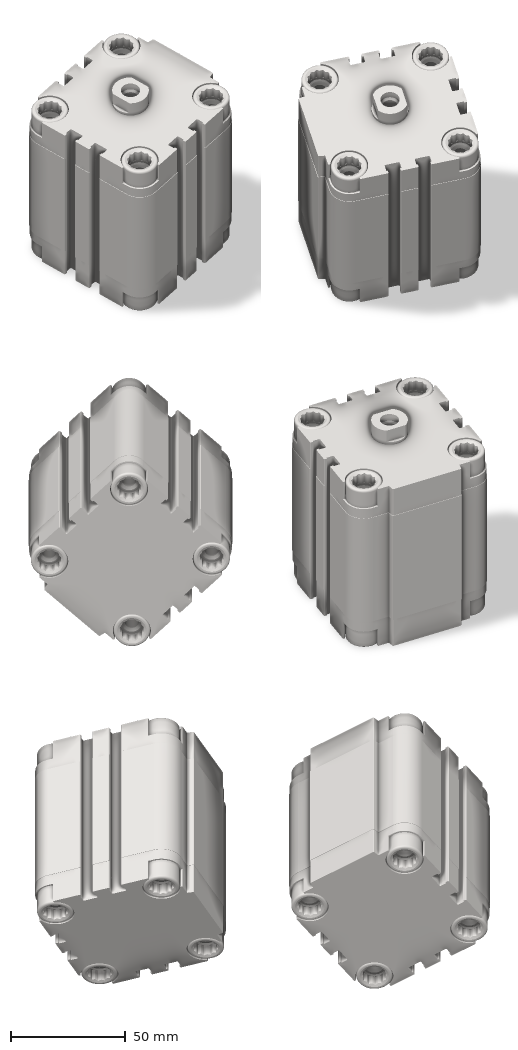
import cadquery as cq
import math

overall_width = 68.0
overall_depth = 71.0
total_height = 93.0
rod_stickout = 7.5
housing_height = total_height - rod_stickout
cap_height = 14.4

half_width = overall_width / 2
rib_top_y = overall_depth - half_width
rib_half_top = 16.9
rib_half_base = 17.4
rib_chamfer = 0.3
cap_inset = 0.2
screw_offset = 25.0

groove_offset = 6.8
groove_neck = 5.6
groove_width = 6.8
groove_depth = 5.0
groove_lip = 1.7
groove_corner_radius = 0.5
mouth_chamfer = 0.3

head_radius = 16.0 / 2
head_height = 9.3
head_edge_radius = 1.0
pocket_radius = 8.3
pocket_wall_inset = 2.6
hole_radius = 6.0 / 2

socket_points = 12
socket_tip_radius = 5.6
socket_root_radius = 5.0
socket_mouth_radius = 6.4
socket_mouth_depth = 0.7
socket_depth = 5.6
relief_radius = 10.4 / 2
relief_depth = 6.8
countersink_radius = 8.4 / 2

rod_radius = 16.0 / 2
rod_depth = cap_height
flat_width = 13.0
flat_height = 6.1
thread_radius = 6.6 / 2
thread_relief_radius = 8.4 / 2
thread_relief_depth = 3.5
thread_depth = 13.0
drill_tip_angle = 118.0


def cone(top_radius, bottom_radius, depth, z_top):
    """Cone frustum on the Z axis that narrows downward from z_top."""
    return cq.Workplane(cq.Solid.makeCone(bottom_radius, top_radius, depth)).translate((0, 0, z_top - depth))


def groove_cutter(inset, height):
    """T-groove running along Z and opening toward -Y, with a mouth chamfer on the inset face."""
    floor_y = -half_width + groove_depth
    lip_y = -half_width + groove_lip
    face_y = -half_width + inset
    half_neck = groove_neck / 2
    half_mouth = half_neck + mouth_chamfer
    chamber = (
        cq.Workplane("XY")
        .center(0, (floor_y + lip_y) / 2)
        .rect(groove_width, floor_y - lip_y)
        .extrude(height)
        .edges("|Z and >Y")
        .fillet(groove_corner_radius)
    )
    neck = (
        cq.Workplane("XY")
        .moveTo(-half_neck, lip_y)
        .lineTo(-half_neck, face_y + mouth_chamfer)
        .lineTo(-half_mouth, face_y)
        .lineTo(half_mouth, face_y)
        .lineTo(half_neck, face_y + mouth_chamfer)
        .lineTo(half_neck, lip_y)
        .close()
        .extrude(height)
    )
    return chamber.union(neck)


def profile_block(inset, z_bottom, height):
    """Length of the housing profile with every side set back by the inset."""
    side = 2 * (half_width - inset)
    block = (
        cq.Workplane("XY")
        .rect(side, side)
        .extrude(height)
        .edges("|Z")
        .fillet(half_width - screw_offset - inset)
    )
    rib_base = rib_half_base - inset
    rib_tip = rib_half_top - inset
    rib_top = rib_top_y - inset
    rib = (
        cq.Workplane("XY")
        .moveTo(-rib_base, 0)
        .lineTo(-rib_base, half_width - inset)
        .lineTo(-rib_tip, rib_top - rib_chamfer)
        .lineTo(-rib_tip + rib_chamfer, rib_top)
        .lineTo(rib_tip - rib_chamfer, rib_top)
        .lineTo(rib_tip, rib_top - rib_chamfer)
        .lineTo(rib_base, half_width - inset)
        .lineTo(rib_base, 0)
        .close()
        .extrude(height)
    )
    block = block.union(rib)
    for side_angle in (-90, 0, 90):
        for offset in (-groove_offset, groove_offset):
            groove = groove_cutter(inset, height).translate((offset, 0, 0))
            block = block.cut(groove.rotate((0, 0, 0), (0, 0, 1), side_angle))
    return block.translate((0, 0, z_bottom))


def corner_pocket():
    """Open pocket around the top screw head in the +X, +Y corner."""
    ledge_z = housing_height - head_height
    wall = screw_offset - pocket_wall_inset
    bore = cq.Workplane("XY").center(screw_offset, screw_offset).circle(pocket_radius).extrude(head_height)
    opening = cq.Workplane("XY").rect(half_width, half_width, centered=False).extrude(head_height)
    return bore.union(opening.translate((wall, wall, 0))).translate((0, 0, ledge_z))


def screw_head():
    """Cylindrical head with a rounded top edge and a twelve-point socket, in the top +X, +Y corner."""
    head = (
        cq.Workplane("XY")
        .circle(head_radius)
        .extrude(head_height)
        .faces(">Z")
        .edges()
        .fillet(head_edge_radius)
    )
    star = []
    for i in range(2 * socket_points):
        radius = socket_tip_radius if i % 2 == 0 else socket_root_radius
        angle = math.pi * i / socket_points
        star.append((radius * math.cos(angle), radius * math.sin(angle)))
    socket = cq.Workplane("XY").polyline(star).close().extrude(socket_depth)
    relief = cq.Workplane("XY").circle(relief_radius).extrude(relief_depth - socket_depth)
    head = head.cut(socket.translate((0, 0, head_height - socket_depth)))
    head = head.cut(relief.translate((0, 0, head_height - relief_depth)))
    head = head.cut(cone(socket_mouth_radius, socket_root_radius, socket_mouth_depth, head_height))
    countersink_depth = countersink_radius - hole_radius
    head = head.cut(cone(countersink_radius, hole_radius, countersink_depth, head_height - relief_depth))
    head = head.cut(cq.Workplane("XY").circle(hole_radius).extrude(head_height))
    return head.translate((screw_offset, screw_offset, housing_height - head_height))


def at_all_corners(feature):
    """Copies of a top +X, +Y corner feature at the four corners of both ends."""
    mid_height = (0, 0, housing_height / 2)
    bottom = feature.mirror("XY", mid_height)
    copies = []
    for end in (feature, bottom):
        for mirrored in (end, end.mirror("YZ")):
            copies += [mirrored, mirrored.mirror("XZ")]
    return copies


def make_housing():
    """Barrel, both end caps and the eight screw heads as one solid, bored for the rod."""
    barrel_height = housing_height - 2 * cap_height
    housing = profile_block(0, cap_height, barrel_height)
    for cap_z in (0, housing_height - cap_height):
        housing = housing.union(profile_block(cap_inset, cap_z, cap_height))
    screw_holes = (
        cq.Workplane("XY")
        .rect(2 * screw_offset, 2 * screw_offset, forConstruction=True)
        .vertices()
        .circle(hole_radius)
        .extrude(housing_height)
    )
    housing = housing.cut(screw_holes)
    for pocket in at_all_corners(corner_pocket()):
        housing = housing.cut(pocket)
    for head in at_all_corners(screw_head()):
        housing = housing.union(head)
    rod_bore = cq.Workplane("XY").circle(rod_radius).extrude(rod_depth)
    return housing.cut(rod_bore.translate((0, 0, housing_height - rod_depth)))


def make_rod():
    """Rod end with two wrench flats and a blind threaded hole."""
    rod = cq.Workplane("XY").circle(rod_radius).extrude(rod_depth + rod_stickout)
    rod = rod.translate((0, 0, housing_height - rod_depth))
    cutter_width = 4 * rod_radius
    flats = (
        cq.Workplane("XY", origin=(0, 0, total_height - flat_height))
        .rect(cutter_width, cutter_width)
        .rect(cutter_width, flat_width)
        .extrude(flat_height)
    )
    tip_depth = thread_radius / math.tan(math.radians(drill_tip_angle / 2))
    chamfer_depth = thread_relief_radius - thread_radius
    threaded_hole = (
        cq.Workplane("XZ")
        .moveTo(0, total_height)
        .lineTo(thread_relief_radius, total_height)
        .lineTo(thread_relief_radius, total_height - thread_relief_depth)
        .lineTo(thread_radius, total_height - thread_relief_depth - chamfer_depth)
        .lineTo(thread_radius, total_height - thread_depth)
        .lineTo(0, total_height - thread_depth - tip_depth)
        .close()
        .revolve(360, (0, 0, 0), (0, 1, 0))
    )
    return rod.cut(flats).cut(threaded_hole)


housing = make_housing()
rod = make_rod()
result = cq.Compound.makeCompound([*housing.solids().vals(), *rod.solids().vals()])